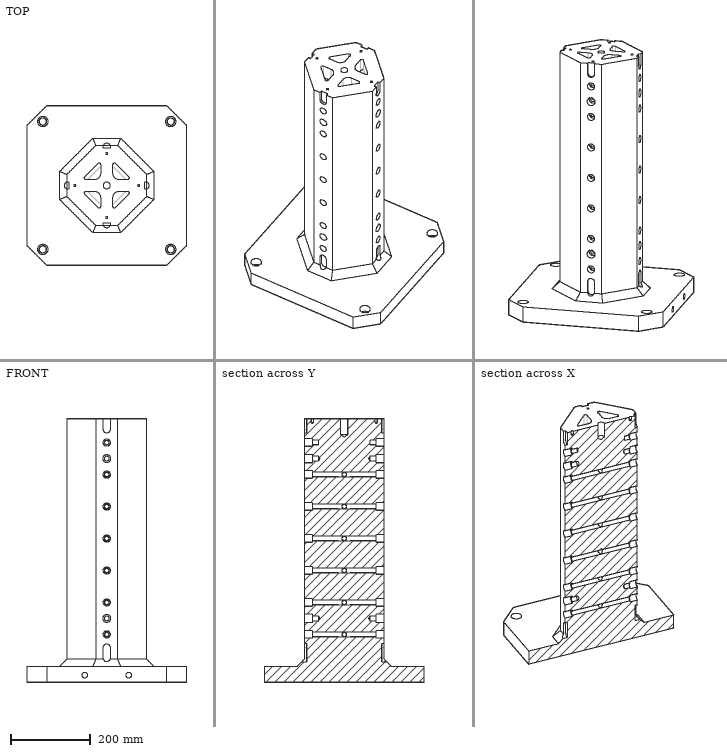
import cadquery as cq
import math

plate_size = 400.0
plate_thickness = 40.0
plate_corner_chamfer = 50.0
mount_hole_offset = 160.0
mount_hole_diameter = 17.5
mount_counterbore_diameter = 26.0
mount_counterbore_depth = 20.0
edge_hole_offset = 55.0
edge_hole_height = 18.0
edge_hole_diameter = 14.0
edge_hole_depth = 30.0

total_height = 660.0
column_size = 200.0
narrow_face_width = 55.0
column_corner_chamfer = (column_size - narrow_face_width) / 2
foot_height = 18.0
foot_growth = foot_height
octagon_half_turn = math.pi / 8
foot_size = column_size + 2 * foot_growth
foot_face_width = narrow_face_width + 2 * foot_growth * math.tan(octagon_half_turn)
foot_corner_chamfer = (foot_size - foot_face_width) / 2
column_half = column_size / 2

keyway_width = 18.0
keyway_depth = 6.0
top_keyway_length = 36.0
top_keyway_end = total_height - top_keyway_length
foot_keyway_bottom = 52.0
foot_keyway_top = 96.0

hole_spacing = 80.0
first_through_height = 120.0
through_count = 6
through_heights = [first_through_height + i * hole_spacing for i in range(through_count)]
blind_height = through_heights[-1] + hole_spacing
drilled_heights = [
    first_through_height + hole_spacing / 2,
    blind_height - hole_spacing / 2,
]
side_hole_diameter = 10.8
side_counterbore_diameter = 18.0
drilled_diameter = 12.0
drilled_counterbore_diameter = 20.0
side_counterbore_depth = 20.0
side_hole_depth = 35.0

lift_hole_diameter = 17.5
lift_hole_depth = 40.0
pin_hole_offset = 80.0
pin_hole_diameter = 5.0
pin_hole_depth = 10.0
pocket_inner = 15.0
pocket_leg = 47.0
pocket_depth = 40.0
pocket_inner_radius = 15.0
pocket_tip_radius = 4.0
pocket_floor_radius = 10.0

quarter_count = 4
quarter_turn = 360 / quarter_count
drill_point_angle = math.radians(118)


def chamfered_square(size, chamfer):
    """Outline of a square with cut corners, centred on the Z axis."""
    half = size / 2
    flat = half - chamfer
    return [
        (flat, -half), (half, -flat), (half, flat), (flat, half),
        (-flat, half), (-half, flat), (-half, -flat), (-flat, -half),
    ]


def prism(size, chamfer, base, height):
    outline = chamfered_square(size, chamfer)
    return cq.Workplane("XY").workplane(offset=base).polyline(outline).close().extrude(height)


def flared_foot():
    return (
        cq.Workplane("XY")
        .workplane(offset=plate_thickness)
        .polyline(chamfered_square(foot_size, foot_corner_chamfer))
        .close()
        .workplane(offset=foot_height)
        .polyline(chamfered_square(column_size, column_corner_chamfer))
        .close()
        .loft(ruled=True)
    )


def cylinder(start, direction, diameter, length):
    solid = cq.Solid.makeCylinder(diameter / 2, length, cq.Vector(*start), cq.Vector(*direction))
    return cq.Workplane(obj=solid)


def drilled_hole(start, direction, diameter, depth):
    """Blind hole with a conical drill point below its full-diameter depth."""
    radius = diameter / 2
    axis = cq.Vector(*direction)
    tip_start = cq.Vector(*start) + axis * depth
    tip_length = radius / math.tan(drill_point_angle / 2)
    tip = cq.Solid.makeCone(radius, 0, tip_length, tip_start, axis)
    return cylinder(start, direction, diameter, depth).union(cq.Workplane(obj=tip))


def keyway(bottom, top, rounded_top):
    """Cutter for a vertical keyway in the -Y face, open outward past the foot."""
    radius = keyway_width / 2
    straight_top = top - radius if rounded_top else top
    outline = (
        cq.Workplane("XZ", origin=(0, keyway_depth - column_half, 0))
        .moveTo(-radius, bottom + radius)
        .threePointArc((0, bottom), (radius, bottom + radius))
        .lineTo(radius, straight_top)
    )
    if rounded_top:
        outline = outline.threePointArc((0, top), (-radius, straight_top))
    else:
        outline = outline.lineTo(-radius, straight_top)
    return outline.close().extrude(keyway_depth + foot_growth)


def side_face_cutters():
    """All cuts entering the column through its -Y narrow face."""
    inward = (0, 1, 0)
    cutters = keyway(top_keyway_end, total_height, False)
    cutters = cutters.union(keyway(foot_keyway_bottom, foot_keyway_top, True))

    plain_holes = [(height, column_size) for height in through_heights]
    plain_holes.append((blind_height, side_hole_depth))
    for height, depth in plain_holes:
        start = (0, -column_half, height)
        bore = cylinder(start, inward, side_hole_diameter, depth)
        counterbore = cylinder(start, inward, side_counterbore_diameter, side_counterbore_depth)
        cutters = cutters.union(bore).union(counterbore)

    for height in drilled_heights:
        start = (0, -column_half, height)
        bore = drilled_hole(start, inward, drilled_diameter, side_hole_depth)
        counterbore = cylinder(start, inward, drilled_counterbore_diameter, side_counterbore_depth)
        cutters = cutters.union(bore).union(counterbore)
    return cutters


def top_pocket():
    """Cutter for the triangular pocket in the +X +Y quadrant of the top face."""
    far = pocket_inner + pocket_leg
    middle = pocket_inner + pocket_leg / 2
    floor = total_height - pocket_depth
    triangle = (
        cq.Workplane("XY")
        .workplane(offset=floor)
        .polyline([(pocket_inner, pocket_inner), (far, pocket_inner), (pocket_inner, far)])
        .close()
        .extrude(pocket_depth)
    )
    outer_floor_edge = cq.NearestToPointSelector((middle, middle, floor))
    rounded_floor = triangle.edges(outer_floor_edge).fillet(pocket_floor_radius)
    inner_corner = cq.NearestToPointSelector((pocket_inner, pocket_inner, floor))
    rounded_corners = (
        triangle.edges("|Z")
        .edges(inner_corner)
        .fillet(pocket_inner_radius)
        .edges("|Z and (>X or >Y)")
        .fillet(pocket_tip_radius)
    )
    return rounded_floor.intersect(rounded_corners)


def top_face_cutters():
    down = (0, 0, -1)
    cutters = drilled_hole((0, 0, total_height), down, lift_hole_diameter, lift_hole_depth)
    pocket = top_pocket()
    pin_start = (pin_hole_offset, 0, total_height)
    pin_hole = drilled_hole(pin_start, down, pin_hole_diameter, pin_hole_depth)
    for quarter in range(quarter_count):
        turn = quarter_turn * quarter
        cutters = cutters.union(pocket.rotate((0, 0, 0), (0, 0, 1), turn))
        cutters = cutters.union(pin_hole.rotate((0, 0, 0), (0, 0, 1), turn))
    return cutters


def base_plate():
    plate = prism(plate_size, plate_corner_chamfer, 0, plate_thickness)
    sides = (-mount_hole_offset, mount_hole_offset)
    corners = [(x, y) for x in sides for y in sides]
    plate = (
        plate.faces(">Z")
        .workplane(origin=(0, 0, plate_thickness))
        .pushPoints(corners)
        .cboreHole(mount_hole_diameter, mount_counterbore_diameter, mount_counterbore_depth)
    )
    for x in (-edge_hole_offset, edge_hole_offset):
        start = (x, -plate_size / 2, edge_hole_height)
        plate = plate.cut(drilled_hole(start, (0, 1, 0), edge_hole_diameter, edge_hole_depth))
    return plate


column = prism(column_size, column_corner_chamfer, plate_thickness, total_height - plate_thickness)
result = base_plate().union(flared_foot()).union(column)
side_cutters = side_face_cutters()
for quarter in range(quarter_count):
    result = result.cut(side_cutters.rotate((0, 0, 0), (0, 0, 1), quarter_turn * quarter))
result = result.cut(top_face_cutters())